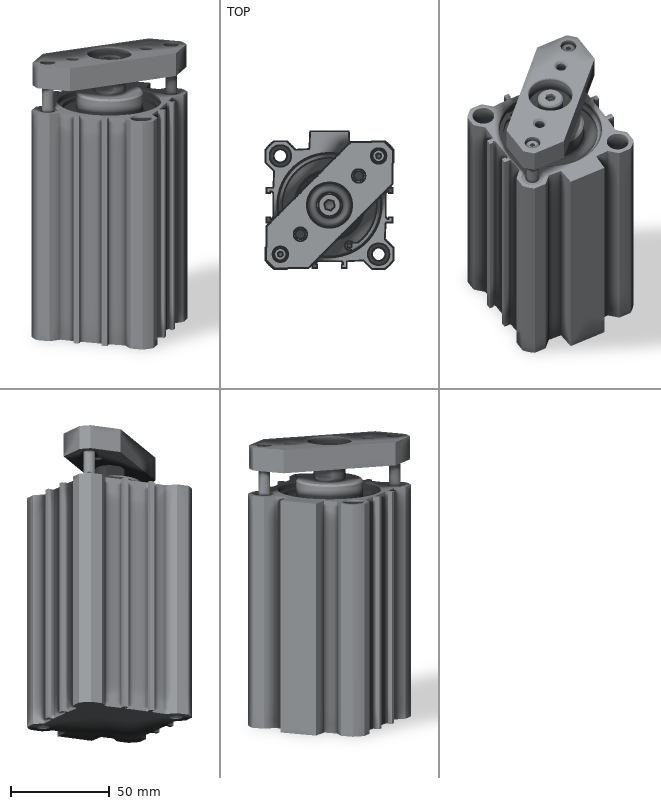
import cadquery as cq
import math

TOTAL_HEIGHT = 145.0
HOUSING_HEIGHT = 119.9
PLATE_THICKNESS = 12.0
PLATE_BOTTOM = TOTAL_HEIGHT - PLATE_THICKNESS

HOUSING_HALF = 32.5
LOBE_OUTER_END = 28.0
LOBE_ARC_MIDDLE = 30.5
LOBE_INNER_END = 21.6
WALL_AT_LOBE = 28.1
WALL_AT_RIB = 28.5
LOBE_ROOT = LOBE_INNER_END - (HOUSING_HALF - WALL_AT_LOBE)
CORNER_OFFSET = 25.0

RIB_OUTER = 8.8
RIB_INNER = 7.0
RIB_HOOK = 6.1
RIB_TIP = 32.0
RIB_HOOK_HEIGHT = 2.0
TAB_BASE_HALF = 10.3
TAB_TIP_HALF = 9.9
TAB_TIP = 37.5

MOUNT_HOLE_DIAMETER = 6.7
MOUNT_COUNTERBORE_DIAMETER = 11.0
MOUNT_COUNTERBORE_DEPTH = 11.6
GUIDE_SEAT_DIAMETER = 11.0
GUIDE_SEAT_FLOOR_DIAMETER = 10.3
GUIDE_LEAD_IN_DIAMETER = 8.0
GUIDE_LEAD_IN_DEPTH = 0.7

RECESS_DIAMETER = 52.2
RECESS_MOUTH_DIAMETER = 53.0
RING_TOP_DEPTH = 3.0
RING_THICKNESS = 2.0
RECESS_DEPTH = RING_TOP_DEPTH + RING_THICKNESS
RECESS_FLOOR = HOUSING_HEIGHT - RECESS_DEPTH
BOSS_DIAMETER = 34.0
BOSS_TOP = 125.4
BOSS_CHAMFER = 1.0
BOSS_FOOT_CHAMFER = 0.9

RING_INNER_DIAMETER = 47.8
RING_EAR_CENTRE_RADIUS = 22.9
RING_EAR_RADIUS = 2.3
RING_EAR_HOLE_DIAMETER = 2.5
RING_NECK_EDGE = 19.0
RING_EAR_ANGLE = 26.2

ROD_DIAMETER = 16.1
ROD_FLAT_HALF_WIDTH = 6.2
ROD_FLAT_BOTTOM = 126.9
ROD_FLAT_SLOPE_DROP = 1.5
ROD_CHAMFER = 1.3
ROD_DEPTH = 101.5

GUIDE_DIAMETER = 6.0

PLATE_HALF = 32.0
PLATE_CORNER_CHAMFER = 4.0
PLATE_SIDE_END = 10.7
TAPPED_HOLE_OFFSET = 14.8
TAPPED_HOLE_DIAMETER = 5.0
TAPPED_HOLE_MOUTH_DIAMETER = 7.0
CENTRE_COUNTERBORE_DIAMETER = 22.2
CENTRE_COUNTERBORE_CHAMFER = 0.5
CENTRE_COUNTERBORE_DEPTH = 7.7
CENTRE_CLEARANCE_DIAMETER = 8.5
GUIDE_COUNTERBORE_DIAMETER = 8.0
GUIDE_COUNTERBORE_DEPTH = 4.5
GUIDE_CLEARANCE_DIAMETER = 4.5

CENTRE_HEAD_DIAMETER = 12.9
CENTRE_HEAD_HEIGHT = 5.4
CENTRE_HEAD_CHAMFER = 0.9
CENTRE_SHANK_DIAMETER = 8.0
CENTRE_SOCKET_WIDTH = 5.0
GUIDE_HEAD_DIAMETER = 7.0
GUIDE_HEAD_HEIGHT = 2.8
GUIDE_HEAD_CHAMFER = 0.5
GUIDE_SHANK_DIAMETER = 4.0
GUIDE_SOCKET_WIDTH = 2.5
THREAD_DEPTH = 11.6

CENTRE_SEAT = TOTAL_HEIGHT - CENTRE_COUNTERBORE_DEPTH
GUIDE_SEAT = TOTAL_HEIGHT - GUIDE_COUNTERBORE_DEPTH
GUIDE_POINTS = [(s * CORNER_OFFSET, s * CORNER_OFFSET) for s in (-1, 1)]
MOUNT_POINTS = [(s * CORNER_OFFSET, -s * CORNER_OFFSET) for s in (-1, 1)]


def cylinder(diameter, bottom, top, points=((0, 0),)):
    """Upright cylinders of one diameter between two heights."""
    return (
        cq.Workplane("XY", origin=(0, 0, bottom))
        .pushPoints(list(points))
        .circle(diameter / 2)
        .extrude(top - bottom)
    )


def cone(bottom_diameter, top_diameter, bottom, top, point=(0, 0)):
    """Upright truncated cone between two heights."""
    return cq.Workplane(
        cq.Solid.makeCone(
            bottom_diameter / 2, top_diameter / 2, top - bottom, cq.Vector(*point, bottom)
        )
    )


def housing_block():
    """Lobes with bowed outer corners, joined by walls that swell slightly to the middle of each side."""
    side = [
        (-LOBE_INNER_END, -HOUSING_HALF),
        (-LOBE_ROOT, -WALL_AT_LOBE),
        (-RIB_OUTER, -WALL_AT_RIB),
        (RIB_OUTER, -WALL_AT_RIB),
        (LOBE_ROOT, -WALL_AT_LOBE),
        (LOBE_INNER_END, -HOUSING_HALF),
        (LOBE_OUTER_END, -HOUSING_HALF),
    ]
    corner = [(LOBE_ARC_MIDDLE, -LOBE_ARC_MIDDLE), (HOUSING_HALF, -LOBE_OUTER_END)]
    outline = cq.Workplane("XY").moveTo(-LOBE_OUTER_END, -HOUSING_HALF)
    for _ in range(4):
        for point in side:
            outline = outline.lineTo(*point)
        outline = outline.threePointArc(*corner)
        side = [(-y, x) for x, y in side]
        corner = [(-y, x) for x, y in corner]
    return outline.close().extrude(HOUSING_HEIGHT)


def sensor_rail():
    """Pair of hooked ribs on the -Y wall, facing each other."""
    root = -WALL_AT_RIB
    hook_start = -RIB_TIP + RIB_HOOK_HEIGHT
    root_chamfer = RIB_INNER - RIB_HOOK
    rib = (
        cq.Workplane("XY")
        .polyline([
            (RIB_OUTER, root + root_chamfer),
            (RIB_OUTER, -RIB_TIP),
            (RIB_HOOK, -RIB_TIP),
            (RIB_HOOK, hook_start),
            (RIB_INNER, hook_start),
            (RIB_INNER, root - root_chamfer),
            (RIB_HOOK, root),
            (RIB_HOOK, root + root_chamfer),
        ])
        .close()
        .extrude(HOUSING_HEIGHT)
    )
    return rib.union(rib.mirror("YZ"))


def port_tab():
    """Tapered rail on the +Y wall."""
    return (
        cq.Workplane("XY")
        .polyline([
            (-TAB_BASE_HALF, LOBE_ROOT),
            (-TAB_BASE_HALF, WALL_AT_RIB),
            (-TAB_TIP_HALF, TAB_TIP),
            (TAB_TIP_HALF, TAB_TIP),
            (TAB_BASE_HALF, WALL_AT_RIB),
            (TAB_BASE_HALF, LOBE_ROOT),
        ])
        .close()
        .extrude(HOUSING_HEIGHT)
    )


def top_recess():
    mouth = (RECESS_MOUTH_DIAMETER - RECESS_DIAMETER) / 2
    recess = cylinder(RECESS_DIAMETER, RECESS_FLOOR, HOUSING_HEIGHT)
    return recess.union(
        cone(RECESS_DIAMETER, RECESS_MOUTH_DIAMETER, HOUSING_HEIGHT - mouth, HOUSING_HEIGHT)
    )


def rod_boss():
    boss = cylinder(BOSS_DIAMETER, RECESS_FLOOR, BOSS_TOP).faces(">Z").chamfer(BOSS_CHAMFER)
    foot_diameter = BOSS_DIAMETER + 2 * BOSS_FOOT_CHAMFER
    return boss.union(
        cone(foot_diameter, BOSS_DIAMETER, RECESS_FLOOR, RECESS_FLOOR + BOSS_FOOT_CHAMFER)
    )


def guide_hole(point):
    """Blind guide-rod hole with a bevelled shallow seat and a lead-in at its mouth."""
    seat_depth = (GUIDE_SEAT_DIAMETER - GUIDE_SEAT_FLOOR_DIAMETER) / 2
    seat_floor = HOUSING_HEIGHT - seat_depth
    hole = cylinder(GUIDE_DIAMETER, HOUSING_HEIGHT - ROD_DEPTH, HOUSING_HEIGHT, [point])
    seat = cone(GUIDE_SEAT_FLOOR_DIAMETER, GUIDE_SEAT_DIAMETER, seat_floor, HOUSING_HEIGHT, point)
    lead_in = cone(
        GUIDE_DIAMETER, GUIDE_LEAD_IN_DIAMETER, seat_floor - GUIDE_LEAD_IN_DEPTH, seat_floor, point
    )
    return hole.union(seat).union(lead_in)


def make_housing():
    body = housing_block()
    for angle in (-90, 0, 90):
        body = body.union(sensor_rail().rotate((0, 0, 0), (0, 0, 1), angle))
    body = body.union(port_tab()).cut(top_recess()).union(rod_boss())
    body = body.cut(cylinder(ROD_DIAMETER, HOUSING_HEIGHT - ROD_DEPTH, BOSS_TOP))
    counterbore_floor = HOUSING_HEIGHT - MOUNT_COUNTERBORE_DEPTH
    body = body.cut(cylinder(MOUNT_HOLE_DIAMETER, 0, HOUSING_HEIGHT, MOUNT_POINTS))
    body = body.cut(
        cylinder(MOUNT_COUNTERBORE_DIAMETER, counterbore_floor, HOUSING_HEIGHT, MOUNT_POINTS)
    )
    for point in GUIDE_POINTS:
        body = body.cut(guide_hole(point))
    return body


def make_retaining_ring():
    """Open ring with a gap toward -Y and a holed ear at each end."""
    bottom = RECESS_FLOOR
    top = bottom + RING_THICKNESS
    angle = math.radians(RING_EAR_ANGLE)
    reach = RECESS_DIAMETER
    gap = (
        cq.Workplane("XY", origin=(0, 0, bottom))
        .polyline([
            (0, 0),
            (-reach * math.sin(angle), -reach * math.cos(angle)),
            (reach * math.sin(angle), -reach * math.cos(angle)),
        ])
        .close()
        .extrude(RING_THICKNESS)
    )
    ears = [
        (s * RING_EAR_CENTRE_RADIUS * math.sin(angle), -RING_EAR_CENTRE_RADIUS * math.cos(angle))
        for s in (-1, 1)
    ]
    ear_x, ear_y = ears[1]
    neck_end = math.sqrt((RING_INNER_DIAMETER / 2) ** 2 - RING_NECK_EDGE**2)
    neck = (
        cq.Workplane("XY", origin=(0, 0, bottom))
        .polyline([
            (ear_x, -RING_NECK_EDGE),
            (neck_end, -RING_NECK_EDGE),
            (neck_end, ear_y),
            (ear_x, ear_y),
        ])
        .close()
        .extrude(RING_THICKNESS)
    )
    ring = cylinder(RECESS_DIAMETER, bottom, top).cut(cylinder(RING_INNER_DIAMETER, bottom, top))
    ring = ring.cut(gap).union(cylinder(2 * RING_EAR_RADIUS, bottom, top, ears))
    ring = ring.union(neck).union(neck.mirror("YZ"))
    ring = ring.intersect(cylinder(RECESS_DIAMETER, bottom, top))
    return ring.cut(cylinder(RING_EAR_HOLE_DIAMETER, bottom, top, ears))


def wrench_flat():
    """Material removed on the +Y side: a flat with a sloping floor."""
    radius = ROD_DIAMETER / 2
    return (
        cq.Workplane("YZ")
        .polyline([
            (ROD_FLAT_HALF_WIDTH, PLATE_BOTTOM),
            (ROD_FLAT_HALF_WIDTH, ROD_FLAT_BOTTOM),
            (radius, ROD_FLAT_BOTTOM - ROD_FLAT_SLOPE_DROP),
            (radius, PLATE_BOTTOM),
        ])
        .close()
        .extrude(radius, both=True)
    )


def make_piston_rod():
    rod = cylinder(ROD_DIAMETER, HOUSING_HEIGHT - ROD_DEPTH, PLATE_BOTTOM)
    rod = rod.faces(">Z").chamfer(ROD_CHAMFER)
    rod = rod.cut(wrench_flat()).cut(wrench_flat().mirror("XZ"))
    return rod.cut(cylinder(CENTRE_SHANK_DIAMETER, PLATE_BOTTOM - THREAD_DEPTH, PLATE_BOTTOM))


def make_guide_rod(point):
    rod = cylinder(GUIDE_DIAMETER, HOUSING_HEIGHT - ROD_DEPTH, PLATE_BOTTOM, [point])
    return rod.cut(
        cylinder(GUIDE_SHANK_DIAMETER, PLATE_BOTTOM - THREAD_DEPTH, PLATE_BOTTOM, [point])
    )


def make_end_plate():
    """Diagonal plate joining the piston rod to both guide rods."""
    chamfer_end = PLATE_HALF - PLATE_CORNER_CHAMFER
    half_outline = [
        (-PLATE_HALF, -PLATE_SIDE_END),
        (-PLATE_HALF, -chamfer_end),
        (-chamfer_end, -PLATE_HALF),
        (-PLATE_SIDE_END, -PLATE_HALF),
    ]
    outline = half_outline + [(-x, -y) for x, y in half_outline]
    plate = (
        cq.Workplane("XY", origin=(0, 0, PLATE_BOTTOM))
        .polyline(outline)
        .close()
        .extrude(PLATE_THICKNESS)
    )
    plate = plate.cut(cylinder(CENTRE_CLEARANCE_DIAMETER, PLATE_BOTTOM, TOTAL_HEIGHT))
    plate = plate.cut(cylinder(CENTRE_COUNTERBORE_DIAMETER, CENTRE_SEAT, TOTAL_HEIGHT))
    mouth_diameter = CENTRE_COUNTERBORE_DIAMETER + 2 * CENTRE_COUNTERBORE_CHAMFER
    mouth_bottom = TOTAL_HEIGHT - CENTRE_COUNTERBORE_CHAMFER
    plate = plate.cut(cone(CENTRE_COUNTERBORE_DIAMETER, mouth_diameter, mouth_bottom, TOTAL_HEIGHT))
    plate = plate.cut(cylinder(GUIDE_CLEARANCE_DIAMETER, PLATE_BOTTOM, TOTAL_HEIGHT, GUIDE_POINTS))
    plate = plate.cut(cylinder(GUIDE_COUNTERBORE_DIAMETER, GUIDE_SEAT, TOTAL_HEIGHT, GUIDE_POINTS))
    tapped_mouth = (TAPPED_HOLE_MOUTH_DIAMETER - TAPPED_HOLE_DIAMETER) / 2
    for offset in (-TAPPED_HOLE_OFFSET, TAPPED_HOLE_OFFSET):
        point = (offset, offset)
        plate = plate.cut(cylinder(TAPPED_HOLE_DIAMETER, PLATE_BOTTOM, TOTAL_HEIGHT, [point]))
        plate = plate.cut(
            cone(
                TAPPED_HOLE_DIAMETER,
                TAPPED_HOLE_MOUTH_DIAMETER,
                TOTAL_HEIGHT - tapped_mouth,
                TOTAL_HEIGHT,
                point,
            )
        )
    return plate


def hex_socket(width, top):
    """Hexagonal socket, half as deep as it is wide, ending in a shallow drill cone."""
    corner_diameter = width / math.cos(math.pi / 6)
    straight_depth = width / 2
    cone_depth = width / 4
    prism = (
        cq.Workplane("XY", origin=(0, 0, top - straight_depth - cone_depth))
        .polygon(6, corner_diameter)
        .extrude(straight_depth + cone_depth)
        .rotate((0, 0, 0), (0, 0, 1), 45)
    )
    drill = cylinder(corner_diameter, top - straight_depth, top).union(
        cone(0, corner_diameter, top - straight_depth - cone_depth, top - straight_depth)
    )
    return prism.intersect(drill)


def make_screw(head_diameter, head_height, head_chamfer, shank_diameter, socket_width, seat):
    """Socket head screw on the Z axis, its head resting at the seat height."""
    head_top = seat + head_height
    head = cylinder(head_diameter, seat, head_top).faces(">Z").chamfer(head_chamfer)
    shank = cylinder(shank_diameter, PLATE_BOTTOM - THREAD_DEPTH, seat)
    return head.union(shank).cut(hex_socket(socket_width, head_top))


housing = make_housing()
retaining_ring = make_retaining_ring()
piston_rod = make_piston_rod()
end_plate = make_end_plate()
centre_screw = make_screw(
    CENTRE_HEAD_DIAMETER,
    CENTRE_HEAD_HEIGHT,
    CENTRE_HEAD_CHAMFER,
    CENTRE_SHANK_DIAMETER,
    CENTRE_SOCKET_WIDTH,
    CENTRE_SEAT,
)
guide_screw = make_screw(
    GUIDE_HEAD_DIAMETER,
    GUIDE_HEAD_HEIGHT,
    GUIDE_HEAD_CHAMFER,
    GUIDE_SHANK_DIAMETER,
    GUIDE_SOCKET_WIDTH,
    GUIDE_SEAT,
)
guide_rods = []
guide_screws = []
for x, y in GUIDE_POINTS:
    guide_rods.append(make_guide_rod((x, y)).solids().val())
    guide_screws.append(guide_screw.translate((x, y, 0)).solids().val())

result = cq.Compound.makeCompound([
    housing.solids().val(),
    retaining_ring.solids().val(),
    piston_rod.solids().val(),
    end_plate.solids().val(),
    centre_screw.solids().val(),
    *guide_rods,
    *guide_screws,
])